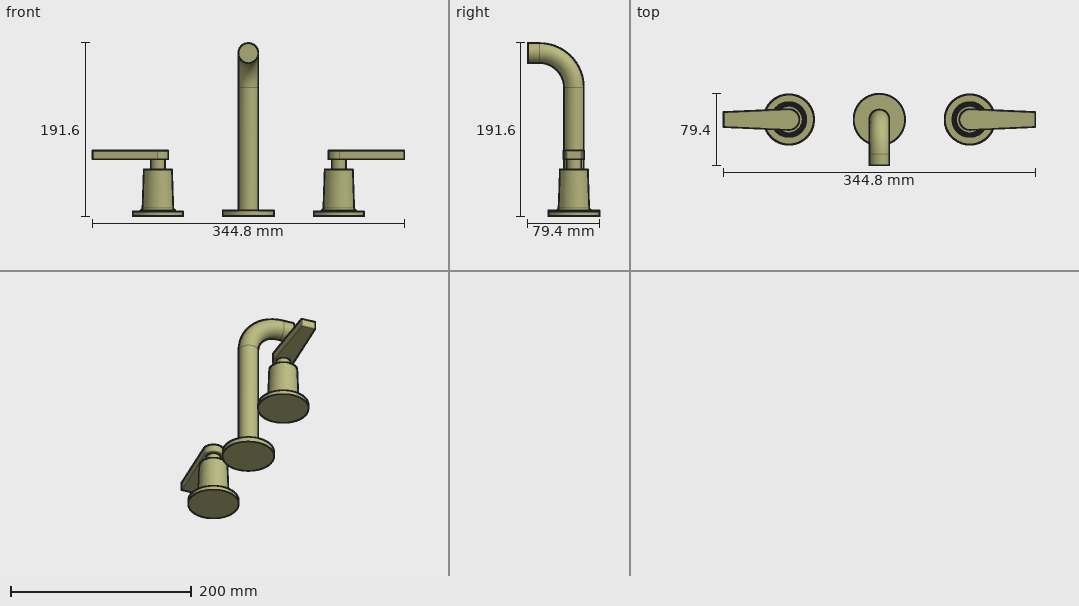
import cadquery as cq
import math

flange_diameter = 57.15
flange_thickness = 6.35
flange_edge = 0.5
tube_diameter = 22.225
spout_height = 191.58
bend_radius = 38.1
outlet_length = 12.7

handle_spacing = 200.0
base_diameter = 56.0
base_thickness = 5.5
base_edge = 0.5
flare_foot_radius = 19.3
flare_foot_height = 1.3
flare_foot_edge = 0.6
body_bottom_radius = 17.1
body_bottom_z = 9.6
body_top_radius = 15.7
body_top_z = 52.1
body_edge = 0.6
stem_radius = 8.0

overall_width = 344.78
lever_hub_radius = 11.6
lever_bottom_z = 62.9
lever_thickness = 9.8
lever_tip_width = 16.8
lever_edge = 0.7


def make_spout():
    tube_axis_z = spout_height - tube_diameter / 2
    bend_start_z = tube_axis_z - bend_radius
    outlet_y = -(bend_radius + outlet_length)
    bend_middle_y = -bend_radius * (1 - math.cos(math.radians(45)))
    bend_middle_z = bend_start_z + bend_radius * math.sin(math.radians(45))

    flange = cq.Workplane("XY").circle(flange_diameter / 2).extrude(flange_thickness)
    flange = flange.faces(">Z").edges().fillet(flange_edge)
    path = (
        cq.Workplane("YZ")
        .lineTo(0, bend_start_z)
        .threePointArc((bend_middle_y, bend_middle_z), (-bend_radius, tube_axis_z))
        .lineTo(outlet_y, tube_axis_z)
    )
    tube = cq.Workplane("XY").circle(tube_diameter / 2).sweep(path)
    return flange.union(tube)


def make_handle_post():
    base_radius = base_diameter / 2
    flare_foot_z = base_thickness + flare_foot_height
    flare_sag = 0.4
    flare_start_radius = flare_foot_radius - flare_foot_edge
    flare_middle_radius = (flare_start_radius + body_bottom_radius) / 2 - flare_sag
    flare_middle_z = (flare_foot_z + body_bottom_z) / 2 - flare_sag
    profile = (
        cq.Workplane("XZ")
        .lineTo(base_radius, 0)
        .lineTo(base_radius, base_thickness - base_edge)
        .lineTo(base_radius - base_edge, base_thickness)
        .lineTo(flare_foot_radius, base_thickness)
        .lineTo(flare_foot_radius, flare_foot_z - flare_foot_edge)
        .lineTo(flare_start_radius, flare_foot_z)
        .threePointArc((flare_middle_radius, flare_middle_z), (body_bottom_radius, body_bottom_z))
        .lineTo(body_top_radius, body_top_z - body_edge)
        .lineTo(body_top_radius - body_edge, body_top_z)
        .lineTo(stem_radius, body_top_z)
        .lineTo(stem_radius, lever_bottom_z)
        .lineTo(0, lever_bottom_z)
        .close()
    )
    return profile.revolve(360, (0, 0, 0), (0, 1, 0))


def make_lever():
    tip_x = (overall_width - handle_spacing) / 2
    half_tip = lever_tip_width / 2
    tip_distance = math.hypot(tip_x, half_tip)
    tangent_angle = math.atan2(half_tip, tip_x) + math.acos(lever_hub_radius / tip_distance)
    tangent_x = lever_hub_radius * math.cos(tangent_angle)
    tangent_y = lever_hub_radius * math.sin(tangent_angle)
    blade = (
        cq.Workplane("XY")
        .workplane(offset=lever_bottom_z)
        .moveTo(tip_x, -half_tip)
        .lineTo(tip_x, half_tip)
        .lineTo(tangent_x, tangent_y)
        .threePointArc((-lever_hub_radius, 0), (tangent_x, -tangent_y))
        .close()
        .extrude(lever_thickness)
    )
    return blade.edges().fillet(lever_edge)


def make_handle(side):
    """Handle with its lever pointing outward; side is -1 or 1 along X."""
    handle = make_handle_post().union(make_lever())
    if side < 0:
        handle = handle.rotate((0, 0, 0), (0, 0, 1), 180)
    return handle.translate((side * handle_spacing / 2, 0, 0))


spout = make_spout()
handles = [make_handle(side) for side in (-1, 1)]

result = cq.Compound.makeCompound([spout.val(), *[handle.val() for handle in handles]])